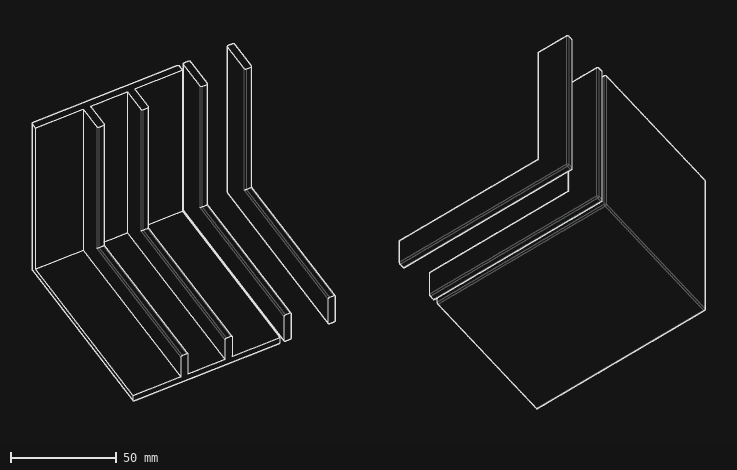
import cadquery as cq

leg_length = 100.0
leg_width = 18.0
thickness = 4.0
total_depth = 110.0
bracket_depth = 80.0
pitch = 24.0
edge_radius = 0.8

first_rib_y = (bracket_depth - pitch - thickness) / 2
rib_positions = [first_rib_y, first_rib_y + pitch]
last_plate_y = total_depth - thickness
plate_positions = [last_plate_y - pitch, last_plate_y]


def make_angle(width, depth, front_y):
    """L-section extruded along Y, with its outer corner on the Y axis."""
    return (
        cq.Workplane("XZ", origin=(0, front_y, 0))
        .moveTo(0, 0)
        .lineTo(leg_length, 0)
        .lineTo(leg_length, width)
        .lineTo(width, width)
        .lineTo(width, leg_length)
        .lineTo(0, leg_length)
        .close()
        .extrude(-depth)
    )


def round_outside(angle):
    """Round the outer corner and the front and back edges of both outer faces."""
    corner = angle.edges("|Y and <X and <Z")
    side_edges = angle.edges("(|X and <Z) or (|Z and <X)")
    return corner.add(side_edges).fillet(edge_radius)


def make_l_plate(front_y):
    """L-shaped plate with the front and back edges of its inner faces rounded."""
    plate = make_angle(leg_width, thickness, front_y)
    inner_middle = (leg_length + leg_width) / 2
    inner_edges = cq.Workplane()
    for edge_y in (front_y, front_y + thickness):
        for x, z in ((inner_middle, leg_width), (leg_width, inner_middle)):
            nearest = cq.selectors.NearestToPointSelector((x, edge_y, z))
            inner_edges = inner_edges.add(plate.edges(nearest))
    return cq.Workplane(plate.val().fillet(edge_radius, inner_edges.vals()))


def make_bracket():
    """Two walls at a right angle, stiffened by L-shaped ribs."""
    bracket = round_outside(make_angle(thickness, bracket_depth, 0))
    inner_span = leg_length - thickness
    inside = cq.Workplane().box(inner_span, bracket_depth, inner_span, centered=False)
    inside = inside.translate((thickness, 0, thickness))
    for rib_y in rib_positions:
        bracket = bracket.union(make_l_plate(rib_y).intersect(inside))
    return bracket


bracket = make_bracket()
plates = [round_outside(make_l_plate(plate_y)) for plate_y in plate_positions]

result = cq.Compound.makeCompound([bracket.val(), *[plate.val() for plate in plates]])